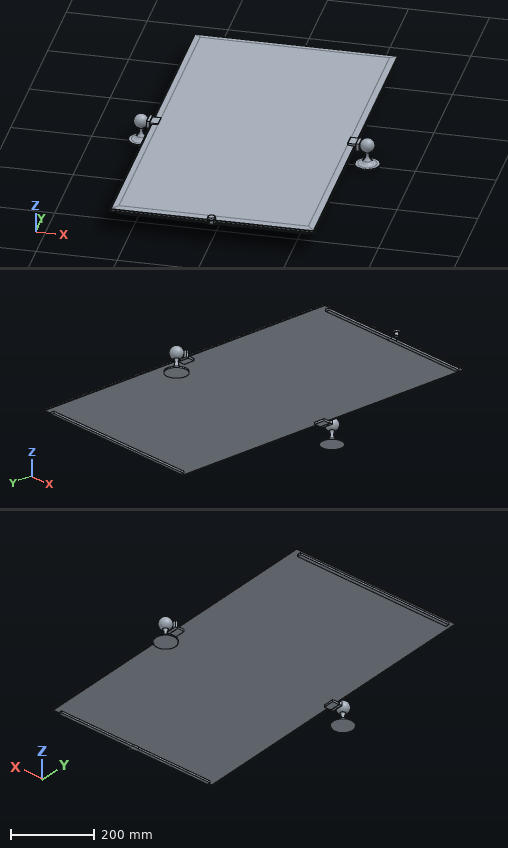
import cadquery as cq

base_thickness = 4.0
panel_bottom = 48.0
panel_thickness = 8.0
panel_top = panel_bottom + panel_thickness
overall_height = 72.0

panel_width = 505.5
panel_length = 914.0
bevel_width = 19.0
bevel_drop = 2.0
glass_edge_thickness = 0.5
backing_thickness = 1.0
edge_recess = 3.0
rail_length = panel_width - 2 * bevel_width
rail_width = 10.0
rail_height = 6.0
front_rail_y = -panel_length / 2 + 9.0
back_rail_y = panel_length / 2 - 13.0

overall_width = 621.0
base_radius = 31.0
post_x = overall_width / 2 - base_radius
ball_radius = 19.0
ball_height = overall_height - ball_radius
dome_radius = 23.0
dome_middle_radius = 15.0
dome_middle_height = 7.0
neck_foot_radius = 10.0
neck_foot_height = 13.0
waist_radius = 5.0
waist_height = 24.0
collar_radius = 8.0
collar_height = ball_height - 16.0

flange_length = 33.0
flange_height = 19.5
flange_outer_x = post_x - 17.0
flange_inner_x = post_x - 25.0
jaw_length = 32.0
jaw_inner_x = panel_width / 2 - bevel_width
lower_jaw_thickness = rail_height
left_jaw_thickness = 2.0
right_jaw_thickness = 5.0

overall_length = 929
knob_radius = 10.0
knob_y = panel_length / 2 - overall_length + knob_radius
knob_top = 67.0
knob_rim_height = 63.0
knob_face_radius = 8.0
knob_underside = 59.5
stem_radius = 6.0
tab_width = 18.0
clip_length = 12.0


def box_between(x_range, y_range, z_range):
    """Box given by its limits along each axis."""
    (x0, x1), (y0, y1), (z0, z1) = x_range, y_range, z_range
    return cq.Workplane("XY").box(x1 - x0, y1 - y0, z1 - z0, centered=False).translate((x0, y0, z0))


def panel_slab(inset, bottom, top):
    """Rectangular layer of the panel, inset on all four sides."""
    half_width = panel_width / 2 - inset
    half_length = panel_length / 2 - inset
    return box_between((-half_width, half_width), (-half_length, half_length), (bottom, top))


def mirror_panel():
    """Bevelled glass, recessed core and thin backing sheet."""
    bevel_bottom = panel_top - bevel_drop
    backing = panel_slab(0, panel_bottom, panel_bottom + backing_thickness)
    core = panel_slab(edge_recess, panel_bottom, bevel_bottom)
    glass_edge = panel_slab(0, bevel_bottom - glass_edge_thickness, bevel_bottom)
    bevel = (
        cq.Workplane("XY", origin=(0, 0, bevel_bottom))
        .rect(panel_width, panel_length)
        .workplane(offset=bevel_drop)
        .rect(panel_width - 2 * bevel_width, panel_length - 2 * bevel_width)
        .loft(ruled=True)
    )
    return backing.union(core).union(glass_edge).union(bevel)


def cross_rail(rail_y):
    """Rail along X under the panel, centred on the given Y."""
    return cq.Workplane("XY").box(rail_length, rail_width, rail_height).translate(
        (0, rail_y, panel_bottom - rail_height / 2)
    )


def post():
    """Turned rosette, dome, waisted neck and ball, on the Z axis."""
    stand = (
        cq.Workplane("XZ")
        .lineTo(base_radius, 0)
        .lineTo(base_radius, base_thickness)
        .lineTo(dome_radius, base_thickness)
        .threePointArc((dome_middle_radius, dome_middle_height), (neck_foot_radius, neck_foot_height))
        .threePointArc((waist_radius, waist_height), (collar_radius, collar_height))
        .lineTo(0, ball_height)
        .close()
        .revolve(360, (0, 0, 0), (0, 1, 0))
    )
    ball = cq.Workplane("XY").sphere(ball_radius).translate((0, 0, ball_height))
    return stand.union(ball)


def bracket(upper_jaw_thickness):
    """Flange on the +X ball with two jaws that grip the panel edge."""
    half_flange = flange_length / 2
    half_jaw = jaw_length / 2
    flange = box_between(
        (flange_inner_x, flange_outer_x),
        (-half_flange, half_flange),
        (ball_height - flange_height / 2, ball_height + flange_height / 2),
    )
    jaws = box_between(
        (jaw_inner_x, flange_inner_x),
        (-half_jaw, half_jaw),
        (panel_bottom - lower_jaw_thickness, panel_top + upper_jaw_thickness),
    )
    return flange.union(jaws)


def mount(upper_jaw_thickness):
    """Post and bracket on the +X side."""
    return post().translate((post_x, 0, 0)).union(bracket(upper_jaw_thickness))


def knob():
    """Mushroom knob on a thin tab level with the backing, and a clip round the rail."""
    tab = box_between(
        (-tab_width / 2, tab_width / 2),
        (knob_y - stem_radius, front_rail_y),
        (panel_bottom, panel_bottom + backing_thickness),
    )
    clip = cq.Workplane("XY").box(tab_width, clip_length, rail_height).translate(
        (0, front_rail_y, panel_bottom - rail_height / 2)
    )
    turned = (
        cq.Workplane("XZ")
        .moveTo(0, panel_bottom)
        .lineTo(stem_radius, panel_bottom)
        .lineTo(stem_radius, knob_underside)
        .lineTo(knob_face_radius, knob_underside)
        .lineTo(knob_radius, knob_rim_height)
        .lineTo(knob_face_radius, knob_top)
        .lineTo(0, knob_top)
        .close()
        .revolve(360, (0, 0, 0), (0, 1, 0))
        .translate((0, knob_y, 0))
    )
    return tab.union(clip).union(turned)


result = mirror_panel()
for rail_y in (front_rail_y, back_rail_y):
    result = result.union(cross_rail(rail_y))
result = result.union(mount(right_jaw_thickness))
result = result.union(mount(left_jaw_thickness).mirror("YZ"))
result = result.union(knob())